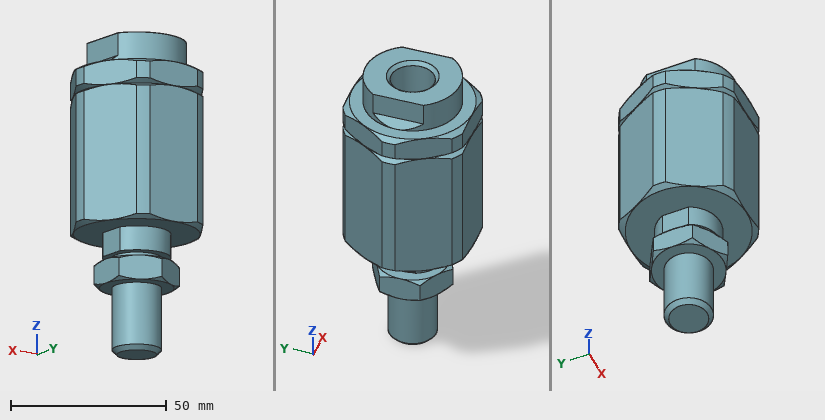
import cadquery as cq
import math

TOTAL_HEIGHT = 103.0
HOUSING_BOTTOM = 40.0
STUD_SHOULDER = 32.0
NUT_BOTTOM = 22.0
NUT_HEIGHT = 8.0

HEX_FLATS = 41.0
HEX_CORNER_DIA = 45.0
HEX_FACE_DIA = 40.8
COLLAR_HEIGHT = 8.0
BOSS_DIA = 32.0
BOSS_HEIGHT = 10.0
BOSS_FLATS = 27.0
BORE_DIA = 14.5
BORE_MOUTH_DIA = 17.0
BORE_DEPTH = 25.8

STUD_DIA = 16.0
STUD_HEAD_DIA = 22.0
STUD_HEAD_FLATS = 20.0
STUD_CHAMFER = 1.5
NUT_FLATS = 24.0

CORNER_CHAMFER_ANGLE = 30.0

COLLAR_TOP = TOTAL_HEIGHT - BOSS_HEIGHT
COLLAR_BOTTOM = COLLAR_TOP - COLLAR_HEIGHT


def corner_span(flats):
    """Distance across the sharp corners of a hexagon."""
    return flats / math.cos(math.radians(30))


def cylinder(diameter, bottom, height):
    return cq.Workplane("XY").workplane(offset=bottom).circle(diameter / 2).extrude(height)


def chamfered_hexagon(flats, corner_dia, face_dia, bottom, height, turn=0):
    """Hexagonal prism with its corners turned to a cylinder and coned at both ends."""
    prism = cq.Workplane("XY").workplane(offset=bottom).polygon(6, corner_span(flats)).extrude(height)
    prism = prism.rotate((0, 0, 0), (0, 0, 1), turn)
    radial = (corner_dia - face_dia) / 2
    axial = radial * math.tan(math.radians(CORNER_CHAMFER_ANGLE))
    envelope = cylinder(corner_dia, bottom, height).faces("<Z or >Z").chamfer(axial, radial)
    return prism.intersect(envelope)


def make_boss():
    """Round boss with two flats that run out at 45 degrees onto the full diameter."""
    boss = cylinder(BOSS_DIA, COLLAR_TOP, BOSS_HEIGHT)
    runout = (BOSS_DIA - BOSS_FLATS) / 2
    profile = (
        cq.Workplane("XZ")
        .moveTo(-BOSS_DIA / 2, COLLAR_TOP)
        .lineTo(BOSS_DIA / 2, COLLAR_TOP)
        .lineTo(BOSS_FLATS / 2, COLLAR_TOP + runout)
        .lineTo(BOSS_FLATS / 2, TOTAL_HEIGHT)
        .lineTo(-BOSS_FLATS / 2, TOTAL_HEIGHT)
        .lineTo(-BOSS_FLATS / 2, COLLAR_TOP + runout)
        .close()
        .extrude(BOSS_DIA / 2, both=True)
    )
    return boss.intersect(profile)


def make_bore():
    """Blind bore with a 45 degree countersunk mouth."""
    bore = cylinder(BORE_DIA, TOTAL_HEIGHT - BORE_DEPTH, BORE_DEPTH)
    mouth_depth = (BORE_MOUTH_DIA - BORE_DIA) / 2
    mouth = cq.Workplane(
        cq.Solid.makeCone(
            BORE_DIA / 2, BORE_MOUTH_DIA / 2, mouth_depth, pnt=cq.Vector(0, 0, TOTAL_HEIGHT - mouth_depth)
        )
    )
    return bore.union(mouth)


def make_housing():
    sleeve = chamfered_hexagon(
        HEX_FLATS, HEX_CORNER_DIA, HEX_FACE_DIA, HOUSING_BOTTOM, COLLAR_BOTTOM - HOUSING_BOTTOM
    )
    collar = chamfered_hexagon(HEX_FLATS, HEX_CORNER_DIA, HEX_FACE_DIA, COLLAR_BOTTOM, COLLAR_HEIGHT)
    return sleeve.union(collar).union(make_boss()).cut(make_bore())


def make_stud():
    """Stud with a flatted head seated against the underside of the housing."""
    shank = cylinder(STUD_DIA, 0, STUD_SHOULDER).faces("<Z").chamfer(STUD_CHAMFER)
    head_height = HOUSING_BOTTOM - STUD_SHOULDER
    head = cylinder(STUD_HEAD_DIA, STUD_SHOULDER, head_height)
    flats = cq.Workplane("XY").workplane(offset=STUD_SHOULDER).rect(STUD_HEAD_FLATS, STUD_HEAD_DIA)
    head = head.intersect(flats.extrude(head_height))
    return shank.union(head)


def make_nut():
    """Lock nut on the stud, with its corners on the Y axis."""
    nut = chamfered_hexagon(
        NUT_FLATS, corner_span(NUT_FLATS), NUT_FLATS, NUT_BOTTOM, NUT_HEIGHT, turn=30
    )
    return nut.cut(cylinder(STUD_DIA, NUT_BOTTOM, NUT_HEIGHT))


housing = make_housing()
stud = make_stud()
nut = make_nut()

result = cq.Compound.makeCompound([housing.val(), stud.val(), nut.val()])